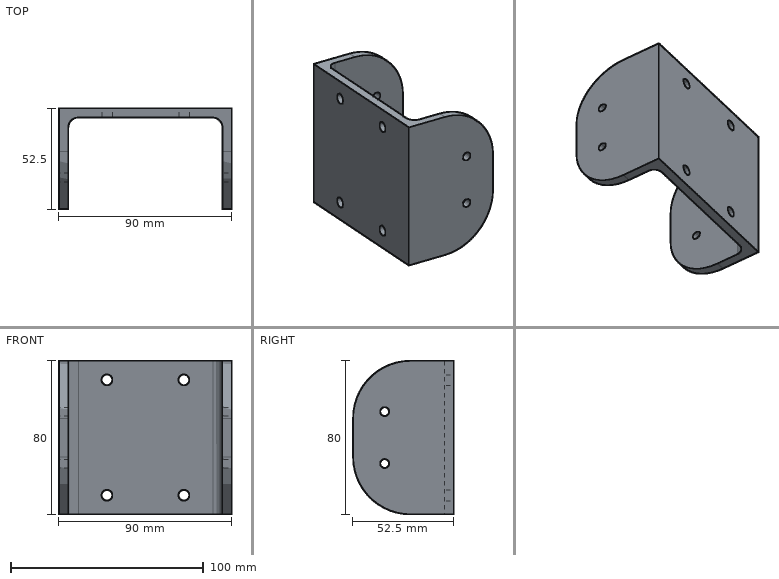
import cadquery as cq

width = 90.0
depth = 52.5
height = 80.0
wall = 5.0

inner_fillet_radius = 5.0
flange_corner_radius = 30.0

back_hole_diameter = 5.5
back_hole_spacing_x = 40.0
back_hole_spacing_z = 60.0

side_hole_diameter = 4.5
side_hole_spacing_z = 27.0
side_hole_from_back = 36.0

side_hole_y = -side_hole_from_back


def make_channel():
    """U-shaped channel with rounded inner corners, running along Z."""
    block = cq.Workplane("XY").box(width, depth, height).translate((0, -depth / 2, 0))
    cavity = (
        cq.Workplane("XY")
        .box(width - 2 * wall, depth - wall, height)
        .translate((0, -wall - (depth - wall) / 2, 0))
        .edges("|Z and >Y")
        .fillet(inner_fillet_radius)
    )
    return block.cut(cavity)


def round_flange_corners(body):
    """Round the top and bottom free corners of both side flanges."""
    return body.faces("<Y").edges("|X").fillet(flange_corner_radius)


def make_back_holes():
    """Four cylinders along Y that pierce the back plate."""
    return (
        cq.Workplane("XZ")
        .rarray(back_hole_spacing_x, back_hole_spacing_z, 2, 2)
        .circle(back_hole_diameter / 2)
        .extrude(wall)
    )


def make_side_holes():
    """Two cylinders along X that pierce both flanges."""
    half_spacing = side_hole_spacing_z / 2
    return (
        cq.Workplane("YZ")
        .pushPoints([(side_hole_y, -half_spacing), (side_hole_y, half_spacing)])
        .circle(side_hole_diameter / 2)
        .extrude(width / 2, both=True)
    )


bracket = round_flange_corners(make_channel())
result = bracket.cut(make_back_holes()).cut(make_side_holes())